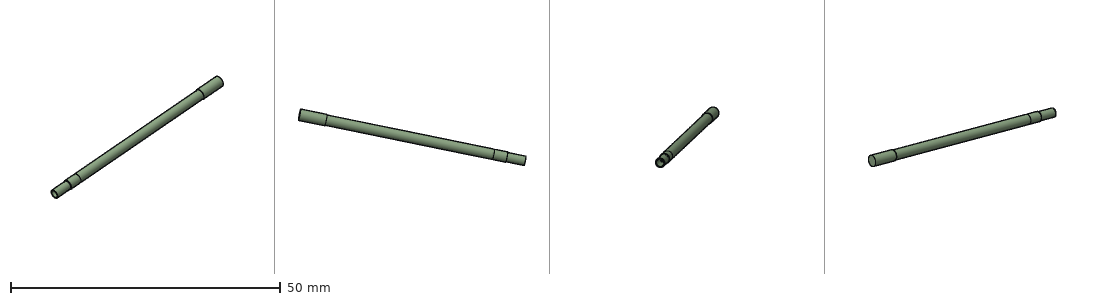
import cadquery as cq
import math

total_length = 42.85
head_diameter = 2.2
head_length = 5.0
body_diameter = 2.0
tip_diameter = 1.8
tip_length = 3.5

groove_center = 6.0
groove_width = 0.5
groove_depth = 0.065

bore_diameter = 1.4
bore_depth = tip_length
drill_point_angle = 118.0


def turned_profile():
    """Half section of the outside, as (radius, distance from the tip end)."""
    tip_radius = tip_diameter / 2
    body_radius = body_diameter / 2
    head_radius = head_diameter / 2
    head_start = total_length - head_length
    return [
        (0, 0),
        (tip_radius, 0),
        (tip_radius, tip_length),
        (body_radius, tip_length),
        (body_radius, groove_center - groove_width / 2),
        (body_radius - groove_depth, groove_center),
        (body_radius, groove_center + groove_width / 2),
        (body_radius, head_start),
        (head_radius, head_start),
        (head_radius, total_length),
        (0, total_length),
    ]


def bore_profile():
    """Half section of the blind bore with its conical bottom."""
    radius = bore_diameter / 2
    cone_length = radius / math.tan(math.radians(drill_point_angle / 2))
    return [
        (0, 0),
        (radius, 0),
        (radius, bore_depth),
        (0, bore_depth + cone_length),
    ]


def revolve_about_y(profile):
    """Turn a closed half section into a solid of revolution about the Y axis."""
    return cq.Workplane("XY").polyline(profile).close().revolve(360, (0, 0, 0), (0, 1, 0))


result = revolve_about_y(turned_profile()).cut(revolve_about_y(bore_profile()))